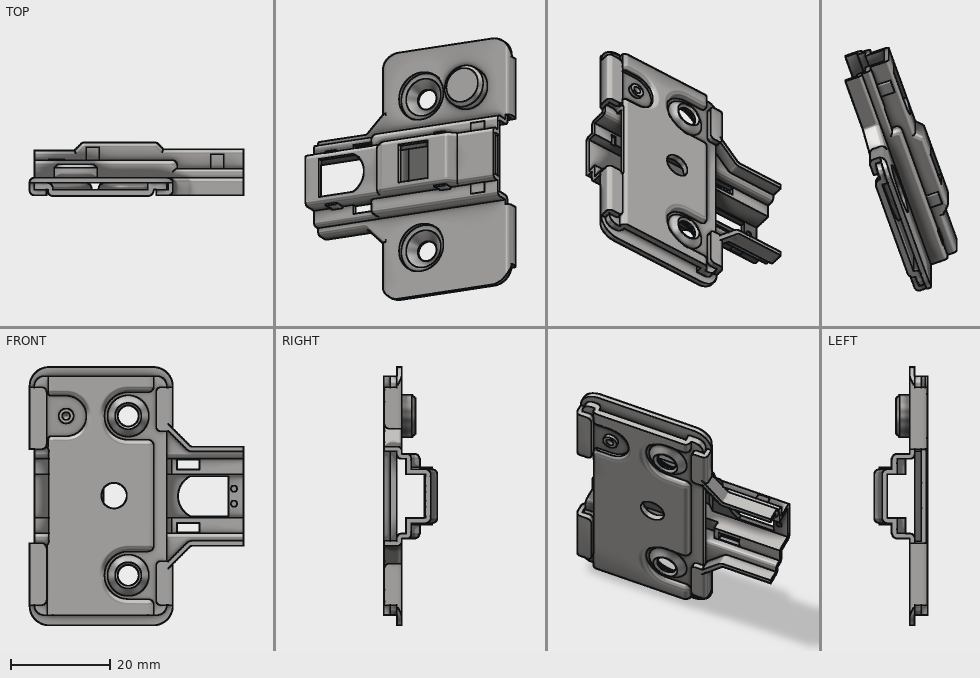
import cadquery as cq
import math


sheet = 1.05
hem_front = 0.15
flange_front = 1.3
plate_front = 2.65
plate_back = plate_front + sheet
hem_back = flange_front

near = 0.05

plate_width = 28.85
plate_height = 52.0
plate_corner = 4.0
bend = 1.0
hem_top = 21.9
left_hem_bottom = 9.45
left_lip = 3.45
right_lip = 25.5
right_lip_bottom = 13.05
lip_corner = 0.95
screw_x = 19.85
screw_z = 16.0
screw_clearance = 5.0
screw_hole = 2.1

total_length = 43.05
arm_half = 10.0
arm_slope_sum = 42.45
arm_bend_inner = 0.7
arm_bend_outer = arm_bend_inner + bend

step_half = 8.55
step_back = 7.25
arm_step_back = 5.5
step_end = 29.7
crown_half = 5.4
left_crown_back = 9.2
crown_back = 10.8
arm_crown_back = 9.45
crown_rise_start = 9.05
crown_fall_start = 25.6
ramp_angle = 45.0
channel_fillet = 1.05
arm_step_fillet = 0.85
step_corner = 1.15

slot_end = 34.15
slot_inner = 5.4
slot_outer = 7.3
arm_window_radius = 4.5
arm_window_left = 29.9
arm_window_right = 40.0
arm_window_half = 4.0
rivet_x = 41.15
rivet_z = 1.5
rivet_radius = 0.6
rivet_depth = 0.1
crown_window_left = 14.9
crown_window_right = 21.5
bead_starts = (11.45, 36.5)
bead_length = 2.6
bead_height = 0.35
dimple_start = 3.9
dimple_length = 3.05
dimple_height = 0.15
dimple_half = 7.5
nick_start = 5.2
nick_length = 1.0
nick_depth = 0.3
nick_outer = 6.65

cover_middle = 0.1
cover_right = 27.6
cover_half = 24.0
cover_corner = 2.0
panel_left = 3.55
panel_right = 25.0
cover_bend = 1.2
panel_trim = 3.75
notch_x = 3.9
notch_half = 10.05
notch_corner = 1.0
center_hole_x = 17.0
center_hole = 2.55
screw_pocket = 4.8
boss_base = 4.15
boss_tip = 2.65
boss_land_back = 1.05
boss_flare = 3.9

pin_x = 7.4
pin_z = 16.1
pin_radius = 1.5
pin_front = 0.5
pin_pocket = 3.95
pin_pocket_wall = 4.05
cam_x = 9.3
cam_radius = 4.3
cam_back = 6.45
cam_chamfer = 0.8
socket_radius = 0.8
socket_depth = 0.8


def box(x0, x1, y0, y1, z0, z1):
    """Block given by its limits along X, Y and Z."""
    return cq.Workplane("XY").box(x1 - x0, y1 - y0, z1 - z0, centered=False).translate((x0, y0, z0))


def xz_plane(y):
    """Workplane with local axes X and Z at depth y; it extrudes toward +Y."""
    return cq.Workplane(cq.Plane(origin=(0, y, 0), xDir=(1, 0, 0), normal=(0, -1, 0)))


def prism(points, y0, y1):
    """Outline in X and Z, extruded from y0 to y1."""
    return xz_plane(y0).polyline(points).close().extrude(y0 - y1)


def disc(x, z, radius, y0, y1):
    """Cylinder along Y."""
    return xz_plane(y0).center(x, z).circle(radius).extrude(y0 - y1)


def cone(x, z, front_radius, back_radius, y0, y1):
    """Truncated or full cone along Y."""
    solid = cq.Solid.makeCone(front_radius, back_radius, y1 - y0, cq.Vector(x, y0, z), cq.Vector(0, 1, 0))
    return cq.Workplane(obj=solid)


def mirrored(body):
    """The body together with its mirror image in Z."""
    return body.union(body.mirror("XY"))


def make_hemmed_plate():
    """Rounded plate whose two long sides fold forward into lips."""
    half = plate_height / 2
    section = box(0, plate_width, hem_front, plate_back, -half, half).edges("|Z").fillet(bend)
    hollow = box(bend, plate_width - bend, hem_back, plate_front, -half, half)
    mouth = box(left_lip, right_lip, 0, plate_front, -half, half)
    outline = box(0, plate_width, 0, plate_back, -half, half).edges("|Y").fillet(plate_corner)
    plate = section.cut(hollow).cut(mouth).intersect(outline)

    hem_zone = box(0, plate_width, 0, plate_front, -hem_top, hem_top)
    sheet_zone = box(0, plate_width, plate_front, plate_back, -half, half)
    plate = plate.intersect(hem_zone.union(sheet_zone))

    wall_bottom = arm_slope_sum - plate_width
    plate = plate.cut(box(0, bend, 0, plate_back, -left_hem_bottom, left_hem_bottom))
    plate = plate.cut(box(0, left_lip, 0, plate_front, -left_hem_bottom, left_hem_bottom))
    plate = plate.cut(box(plate_width - bend, plate_width, 0, plate_back, -wall_bottom, wall_bottom))
    plate = plate.cut(box(right_lip, plate_width, 0, plate_front, -right_lip_bottom, right_lip_bottom))

    left_corners = cq.selectors.BoxSelector((left_lip - near, 0, -half), (left_lip + near, hem_back, half))
    right_corners = cq.selectors.BoxSelector((right_lip - near, 0, -half), (right_lip + near, hem_back, half))
    plate = plate.edges("|Y").edges(left_corners).fillet(lip_corner)
    return plate.edges("|Y").edges(right_corners).fillet(lip_corner)


def arm_outline(inset, left):
    """Corner points of the tapering arm, moved inward by inset."""
    slope_sum = arm_slope_sum - inset * math.sqrt(2)
    half = arm_half - inset
    upper = [(left, slope_sum - left), (slope_sum - half, half), (total_length, half)]
    return upper + [(x, -z) for x, z in reversed(upper)]


def make_arm():
    """Flat arm with side walls that run on from the right hems."""
    def bent(inset, left, y0, y1, radius):
        points = arm_outline(inset, left)
        knee_x, knee_z = points[1]
        knees = cq.selectors.BoxSelector(
            (knee_x - near, y0, -knee_z - near), (knee_x + near, y1, knee_z + near)
        )
        return prism(points, y0, y1).edges("|Y").edges(knees).fillet(radius)

    left = plate_width - bend
    arm = bent(0, left, hem_front, plate_back, arm_bend_inner)
    arm = arm.faces(">Y").edges("not |Z").fillet(bend)
    return arm.cut(bent(bend, left, 0, plate_front, arm_bend_outer))


def crown_outline(inset):
    """Points in X and Y of the upper step, moved inward by inset."""
    shift = inset * math.tan(math.radians(ramp_angle / 2))
    rise = crown_back - left_crown_back
    fall = crown_back - arm_crown_back
    return [
        (bend, plate_front),
        (bend, left_crown_back - inset),
        (crown_rise_start + shift, left_crown_back - inset),
        (crown_rise_start + rise + shift, crown_back - inset),
        (crown_fall_start - shift, crown_back - inset),
        (crown_fall_start + fall - shift, arm_crown_back - inset),
        (total_length, arm_crown_back - inset),
        (total_length, plate_front),
    ]


def crown_prism(inset):
    """Upper step as a solid, moved inward by inset on its back and both sides."""
    half = crown_half - inset
    outline = cq.Workplane("XY", origin=(0, 0, -half)).polyline(crown_outline(inset)).close()
    return outline.extrude(2 * half)


def make_channel_outside():
    """Solid outer shape of the stepped channel with its pressed beads and dimples."""
    step = box(bend, step_end, plate_front, step_back, -step_half, step_half)
    step = step.edges("|Y and >X").fillet(step_corner)
    step = step.faces(">Y").edges("not <X").fillet(channel_fillet)
    arm_step = box(bend, total_length, plate_front, arm_step_back, -step_half, step_half)
    arm_step = arm_step.faces(">Y").edges("|X").fillet(arm_step_fillet)

    crown = crown_prism(0)
    knees = cq.selectors.BoxSelector(
        (bend, crown_back - near, -plate_height), (total_length, crown_back + near, plate_height)
    )
    crown = crown.edges("|Z").edges(knees).fillet(channel_fillet)
    long_edges = cq.selectors.BoxSelector(
        (bend, left_crown_back - near, -plate_height), (total_length, crown_back + near, plate_height)
    )
    crown = crown.faces("<Z or >Z").edges(long_edges).edges("not |Y").fillet(channel_fillet)

    channel = step.union(arm_step).union(crown)
    bead_half = crown_half + bead_height
    for start, back in zip(bead_starts, (crown_back, arm_crown_back)):
        bead_back = back - channel_fillet
        bead = box(start, start + bead_length, plate_back, bead_back, -bead_half, bead_half)
        channel = channel.union(bead.edges("|Y").fillet(bead_height))
    dimple_back = step_back + dimple_height
    dimple_end = dimple_start + dimple_length
    return channel.union(box(dimple_start, dimple_end, plate_back, dimple_back, -dimple_half, dimple_half))


def make_channel_inside():
    """Space inside the channel; its mouth widens over the rounded bends of the plate."""
    half = step_half - sheet
    mouth = plate_front + bend
    flare_mid = bend * (1 - math.sqrt(0.5))

    def tunnel(x0, x1, back):
        profile = (
            cq.Workplane("YZ", origin=(x0, 0, 0))
            .moveTo(plate_front, half + bend)
            .threePointArc((plate_front + flare_mid, half + flare_mid), (mouth, half))
            .lineTo(back, half)
            .lineTo(back, -half)
            .lineTo(mouth, -half)
            .threePointArc((plate_front + flare_mid, -half - flare_mid), (plate_front, -half - bend))
            .close()
        )
        return profile.extrude(x1 - x0)

    deep = tunnel(bend, step_end - sheet, step_back - sheet)
    shallow = tunnel(bend, total_length, arm_step_back - sheet)
    return deep.union(shallow).union(crown_prism(sheet))


def make_channel_openings():
    """Side slots, nicks, arm window and crown window."""
    slot = box(step_end, slot_end, plate_front, arm_step_back, slot_inner, slot_outer)
    nick_front = step_back - sheet
    nick_back = nick_front + nick_depth
    nick_inner = crown_half - sheet
    nick = box(nick_start, nick_start + nick_length, nick_front, nick_back, nick_inner, nick_outer)

    middle = arm_window_left + arm_window_radius
    left_disc = disc(middle, 0, arm_window_radius, step_back, crown_back)
    straight = box(middle, arm_window_right, step_back, crown_back, -arm_window_half, arm_window_half)
    band = box(arm_window_left, middle, step_back, crown_back, -arm_window_half, arm_window_half)
    arm_window = left_disc.intersect(band).union(straight)
    crown_window = box(
        crown_window_left, crown_window_right, step_back, crown_back, -arm_window_half, arm_window_half
    )
    return mirrored(slot).union(mirrored(nick)).union(arm_window).union(crown_window)


def make_back_plate():
    """Hemmed plate, arm and stepped channel formed in one sheet, with all openings."""
    body = make_hemmed_plate().union(make_arm()).union(make_channel_outside())
    body = body.cut(make_channel_inside()).cut(make_channel_openings())
    rivet_front = arm_crown_back - sheet
    rivet_back = rivet_front + rivet_depth
    for side in (-1, 1):
        body = body.cut(disc(rivet_x, side * rivet_z, rivet_radius, rivet_front, rivet_back))
        z = cover_middle + side * screw_z
        body = body.cut(disc(screw_x, z, screw_clearance, plate_front, plate_back))
    return body.cut(disc(pin_x, pin_z, pin_radius, plate_front, plate_back))


def pocket(center_x, center_z, radius, end_x, y0, y1):
    """Slot with one round end at the centre, running straight to end_x."""
    straight = box(
        min(center_x, end_x), max(center_x, end_x), y0, y1, center_z - radius, center_z + radius
    )
    return disc(center_x, center_z, radius, y0, y1).union(straight)


def make_panel():
    """Raised panel with a pocket around each screw and around the pin."""
    panel = box(panel_left, panel_right, 0, flange_front, -cover_half, cover_half)
    for side in (-1, 1):
        panel = panel.cut(pocket(screw_x, side * screw_z, screw_pocket, panel_right, 0, flange_front))
    panel = panel.cut(pocket(pin_x, pin_z - cover_middle, pin_pocket, panel_left, 0, flange_front))
    mouths = cq.selectors.BoxSelector(
        (panel_left - near, 0, near - cover_half), (panel_right + near, flange_front, cover_half - near)
    )
    panel = panel.edges("|Y").edges("<X or >X").edges(mouths).fillet(cover_bend)
    return panel.faces("<Y").edges("not (<Z or >Z)").fillet(cover_bend)


def make_flange():
    """Flat part of the cover behind the panel, open behind the raised areas."""
    flange = box(bend, cover_right, flange_front, plate_front, -cover_half, cover_half)
    flange = flange.edges("|Y").fillet(cover_corner)
    left = panel_left + cover_bend
    right = panel_right - cover_bend
    cavity = box(left, right, flange_front, plate_front, -cover_half, cover_half)
    for side in (-1, 1):
        pad_radius = screw_pocket + cover_bend
        pad = pocket(screw_x, side * screw_z, pad_radius, panel_right, flange_front, plate_front)
        cavity = cavity.cut(pad)
    pad_radius = pin_pocket + cover_bend
    pad = pocket(pin_x, pin_z - cover_middle, pad_radius, panel_left, flange_front, plate_front)
    cavity = cavity.cut(pad)
    flange = flange.cut(cavity)
    rims = cq.selectors.BoxSelector(
        (left - near, plate_front - near, -plate_height), (right + near, plate_front + near, plate_height)
    )
    return flange.faces(">Y").edges(rims).edges("not (<Z or >Z)").fillet(cover_bend)


def make_cover():
    """Front cover, shaped about its own middle and then shifted to its place."""
    cover = make_flange().union(make_panel())
    for side in (-1, 1):
        z = side * screw_z
        cover = cover.union(cone(screw_x, z, boss_tip, boss_base, 0, flange_front))
        cover = cover.cut(cone(screw_x, z, boss_tip, screw_hole, 0, boss_tip - screw_hole))
        cover = cover.cut(disc(screw_x, z, screw_hole, 0, plate_front))
        cover = cover.cut(cone(screw_x, z, screw_hole, boss_flare, boss_land_back, plate_front))
    cover = cover.cut(disc(center_hole_x, 0, center_hole, 0, plate_front))
    cover = cover.translate((0, 0, cover_middle))
    cover = cover.cut(disc(pin_x, pin_z, pin_radius, 0, plate_front))
    cover = cover.cut(pocket(pin_x, pin_z, pin_pocket_wall, 0, 0, flange_front))
    cover = cover.cut(box(0, panel_trim, 0, flange_front, notch_half, plate_height))

    notch = box(0, notch_x, 0, plate_front, -notch_half, notch_half).edges("|Y and >X").fillet(notch_corner)
    rim_half = notch_half - notch_corner
    rim = box(0, panel_left + cover_bend, flange_front, plate_front, -rim_half, rim_half)
    return cover.cut(notch).cut(rim)


def make_pin():
    """Eccentric cam behind the plate on a shaft that passes through plate and cover."""
    cam = disc(cam_x, pin_z, cam_radius, plate_back, cam_back).faces(">Y").chamfer(cam_chamfer)
    shaft = disc(pin_x, pin_z, pin_radius, pin_front, plate_back)
    socket = cone(pin_x, pin_z, socket_radius, 0, pin_front, pin_front + socket_depth)
    return cam.union(shaft).cut(socket)


back_plate = make_back_plate()
cover = make_cover()
pin = make_pin()
result = cq.Compound.makeCompound([back_plate.val(), cover.val(), pin.val()])